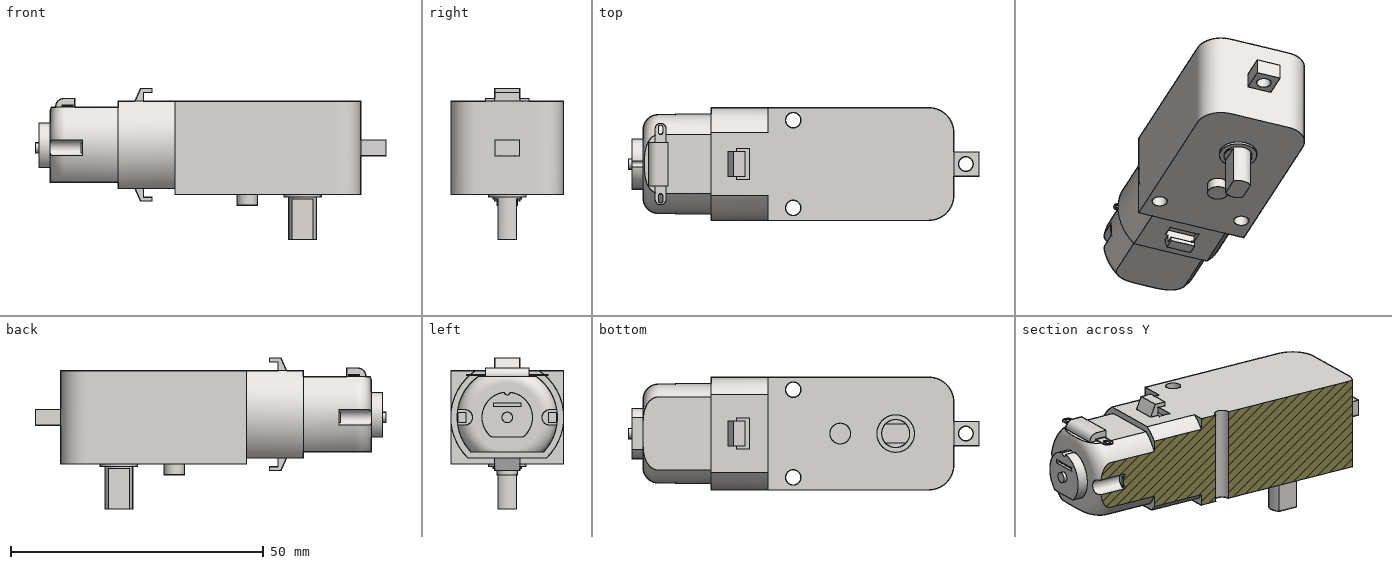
import cadquery as cq

box_length = 36.85
box_width = 22.4
box_height = 18.55
box_corner_radius = 5.0
box_top = box_height / 2
box_bottom = -box_height / 2

mount_hole_diameter = 3.0
mount_hole_x = 5.0
mount_hole_y = 8.7

tab_length = 5.0
tab_width = 4.85
tab_thickness = 3.2
tab_hole_diameter = 2.85
tab_hole_offset = 2.35

pin_x = 14.3
pin_diameter = 4.1
pin_height = 2.1
output_x = 25.3
output_diameter = 5.55
output_flat_width = 3.7
output_length = 8.9
collar_diameter = 7.45
collar_height = 0.5
output_round_height = 0.35

neck_length = 11.25
neck_bottom = -8.05

hook_width = 5.0
hook_front = -7.9
hook_tip_front = -6.8
hook_back = -6.2
hook_lip_end = -4.5
hook_height = 2.5
hook_lip_thickness = 0.8
hook_pocket_end = -3.7
hook_pocket_width = 6.1

motor_front = -24.75
motor_radius = 9.95
motor_end_radius = 3.05
motor_top = 8.05
motor_bottom = -6.8

boss_length = 2.2
boss_radius = 5.0
boss_bottom = -3.9
boss_groove_radius = 0.55
boss_slot_width = 5.35
boss_slot_height = 0.7
boss_slot_z = 2.5
boss_slot_depth = 0.7
motor_shaft_diameter = 2.1
motor_shaft_length = 0.7

groove_end = -18.35
groove_radius = 1.5
groove_center_y = 8.4
stop_length = 0.3
stop_height = 1.95
stop_inner_y = 8.2
stop_outer_y = 9.7

block_back = -19.8
block_length = 3.8
block_width = 8.6
block_top = 9.8
block_round_radius = 1.6
strip_x = -21.3
strip_width = 2.15
strip_length = 16.1
strip_bottom = 8.35
strip_thickness = 0.15
eyelet_y = 6.8
eyelet_length = 1.8
eyelet_width = 0.9


def box_between(x_range, y_range, z_range):
    """Box spanning the given (low, high) limits on each axis."""
    spans = (x_range, y_range, z_range)
    size = [high - low for low, high in spans]
    corner = [low for low, high in spans]
    return cq.Workplane("XY").box(*size, centered=False).translate(tuple(corner))


def centered(width):
    return (-width / 2, width / 2)


def bar_along_x(radius, x_start, x_end):
    """Round bar on the motor axis."""
    return cq.Workplane("YZ", origin=(x_start, 0, 0)).circle(radius).extrude(x_end - x_start)


def keep_height(body, x_range, z_range, radius):
    """Cut flats above and below a round body."""
    return body.intersect(box_between(x_range, (-radius, radius), z_range))


def pin_down(x, diameter, length):
    """Round pin below the gearbox, starting at its bottom face."""
    return cq.Workplane("XY", origin=(x, 0, box_bottom)).circle(diameter / 2).extrude(-length)


def make_gearbox():
    body = box_between((0, box_length), centered(box_width), (box_bottom, box_top))
    body = body.edges("|Z and >X").fillet(box_corner_radius)
    mount_points = [(mount_hole_x, -mount_hole_y), (mount_hole_x, mount_hole_y)]
    holes = (
        cq.Workplane("XY", origin=(0, 0, box_bottom))
        .pushPoints(mount_points)
        .circle(mount_hole_diameter / 2)
        .extrude(box_height)
    )
    return body.cut(holes)


def make_rear_tab():
    x_range = (box_length, box_length + tab_length)
    tab = box_between(x_range, centered(tab_width), centered(tab_thickness))
    hole = (
        cq.Workplane("XY", origin=(box_length + tab_hole_offset, 0, -tab_thickness / 2))
        .circle(tab_hole_diameter / 2)
        .extrude(tab_thickness)
    )
    return tab.cut(hole)


def make_output_shaft():
    """Shaft with two flats, left round next to the collar."""
    shaft = pin_down(output_x, output_diameter, output_length)
    flats_top = box_bottom - collar_height - output_round_height
    flats_bottom = box_bottom - output_length
    x_range = (output_x - output_diameter / 2, output_x + output_diameter / 2)
    for side in (-1, 1):
        y_limits = sorted((side * output_flat_width / 2, side * output_diameter / 2))
        shaft = shaft.cut(box_between(x_range, y_limits, (flats_bottom, flats_top)))
    return shaft.union(pin_down(output_x, collar_diameter, collar_height))


def make_neck():
    radius = box_width / 2
    neck = bar_along_x(radius, -neck_length, 0)
    neck = keep_height(neck, (-neck_length, 0), (neck_bottom, box_top), radius)
    for z_range in ((motor_top, box_top), (neck_bottom, motor_bottom)):
        pocket = box_between((hook_back, hook_pocket_end), centered(hook_pocket_width), z_range)
        neck = neck.cut(pocket)
    return neck


def make_hook(base_z, direction):
    """Snap hook standing on the flat at base_z; direction is 1 for up and -1 for down."""
    tip_z = base_z + direction * hook_height
    lip_z = tip_z - direction * hook_lip_thickness
    outline = [
        (hook_front, base_z),
        (hook_tip_front, tip_z),
        (hook_lip_end, tip_z),
        (hook_lip_end, lip_z),
        (hook_back, lip_z),
        (hook_back, base_z),
    ]
    return cq.Workplane("XZ").polyline(outline).close().extrude(hook_width / 2, both=True)


def make_side_groove(side):
    """Cutter for a round-bottomed groove, open to the side of the can."""
    x_range = (motor_front, groove_end)
    round_bottom = bar_along_x(groove_radius, *x_range).translate((0, side * groove_center_y, 0))
    y_limits = sorted((side * groove_center_y, side * (groove_center_y + motor_radius)))
    return round_bottom.union(box_between(x_range, y_limits, centered(2 * groove_radius)))


def make_motor():
    can = bar_along_x(motor_radius, motor_front, 0).faces("<X").edges().fillet(motor_end_radius)
    can = keep_height(can, (motor_front, 0), (motor_bottom, motor_top), motor_radius)
    for side in (-1, 1):
        y_limits = sorted((side * stop_inner_y, side * stop_outer_y))
        stop = box_between((groove_end - stop_length, groove_end), y_limits, centered(stop_height))
        can = can.cut(make_side_groove(side)).union(stop)
    return can


def make_boss():
    boss_front = motor_front - boss_length
    x_range = (boss_front, motor_front)
    boss = bar_along_x(boss_radius, *x_range)
    boss = keep_height(boss, x_range, (boss_bottom, boss_radius), boss_radius)
    boss = boss.cut(bar_along_x(boss_groove_radius, *x_range).translate((0, 0, boss_radius)))
    slot = box_between(
        (boss_front, boss_front + boss_slot_depth),
        centered(boss_slot_width),
        (boss_slot_z - boss_slot_height / 2, boss_slot_z + boss_slot_height / 2),
    )
    shaft = bar_along_x(motor_shaft_diameter / 2, boss_front - motor_shaft_length, motor_front)
    return boss.cut(slot).union(shaft)


def make_terminals():
    x_range = (block_back - block_length, block_back)
    block = box_between(x_range, centered(block_width), (motor_top, block_top))
    block = block.edges("<X and >Z").fillet(block_round_radius)
    strip = (
        cq.Workplane("XY", origin=(strip_x, 0, strip_bottom))
        .slot2D(strip_length, strip_width, 90)
        .extrude(strip_thickness)
    )
    eyelets = (
        cq.Workplane("XY", origin=(strip_x, 0, strip_bottom))
        .pushPoints([(0, -eyelet_y), (0, eyelet_y)])
        .slot2D(eyelet_length, eyelet_width, 90)
        .extrude(strip_thickness)
    )
    return block.union(strip.cut(eyelets))


parts = [
    make_rear_tab(),
    pin_down(pin_x, pin_diameter, pin_height),
    make_output_shaft(),
    make_neck(),
    make_hook(box_top, 1),
    make_hook(neck_bottom, -1),
    make_motor(),
    make_boss(),
    make_terminals(),
]

result = make_gearbox()
for part in parts:
    result = result.union(part)